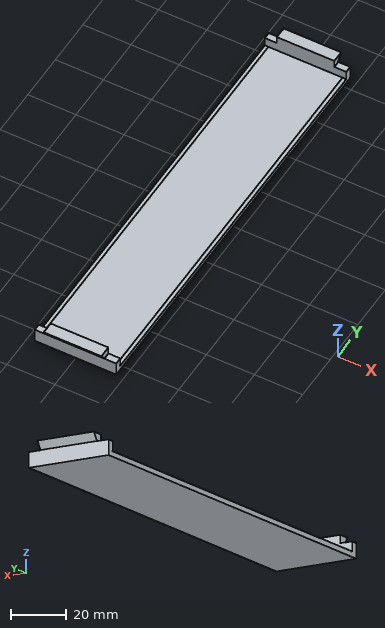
import cadquery as cq

tray_width = 34.0
overall_length = 174.0
overall_height = 9.0

floor_thickness = 2.1
wall_thickness = 3.0
wall_height = 6.0
lip_overhang = 2.1
lip_width = 24.0
tray_length = overall_length - 2 * lip_overhang
floor_length = tray_length - 2 * wall_thickness

rim_width = 1.5
panel_thickness = floor_thickness / 2
panel_width = tray_width - 2 * rim_width


def make_block(width, length, height, bottom):
    """Block centred on the Z axis, standing on the given level."""
    return cq.Workplane("XY").workplane(offset=bottom).rect(width, length).extrude(height)


def make_panel():
    """Flat strip that fills the floor recess."""
    return make_block(panel_width, floor_length, panel_thickness, floor_thickness - panel_thickness)


def make_lip(side):
    """Catch lip on one end wall, sloping outward to a sharp top edge; side is +1 or -1 along Y."""
    inner_face = side * floor_length / 2
    wall_face = side * tray_length / 2
    tip = side * overall_length / 2
    return (
        cq.Workplane("YZ")
        .moveTo(inner_face, wall_height)
        .lineTo(wall_face, wall_height)
        .lineTo(tip, overall_height)
        .lineTo(inner_face, overall_height)
        .close()
        .extrude(lip_width / 2, both=True)
    )


def make_tray():
    """Shallow tray open along both long sides, with a lipped wall at each end."""
    body = make_block(tray_width, tray_length, wall_height, 0)
    opening = make_block(tray_width, floor_length, wall_height - floor_thickness, floor_thickness)
    body = body.cut(opening)
    for side in (-1, 1):
        body = body.union(make_lip(side))
    return body.cut(make_panel())


tray = make_tray()
panel = make_panel()

result = cq.Compound.makeCompound([tray.val(), panel.val()])